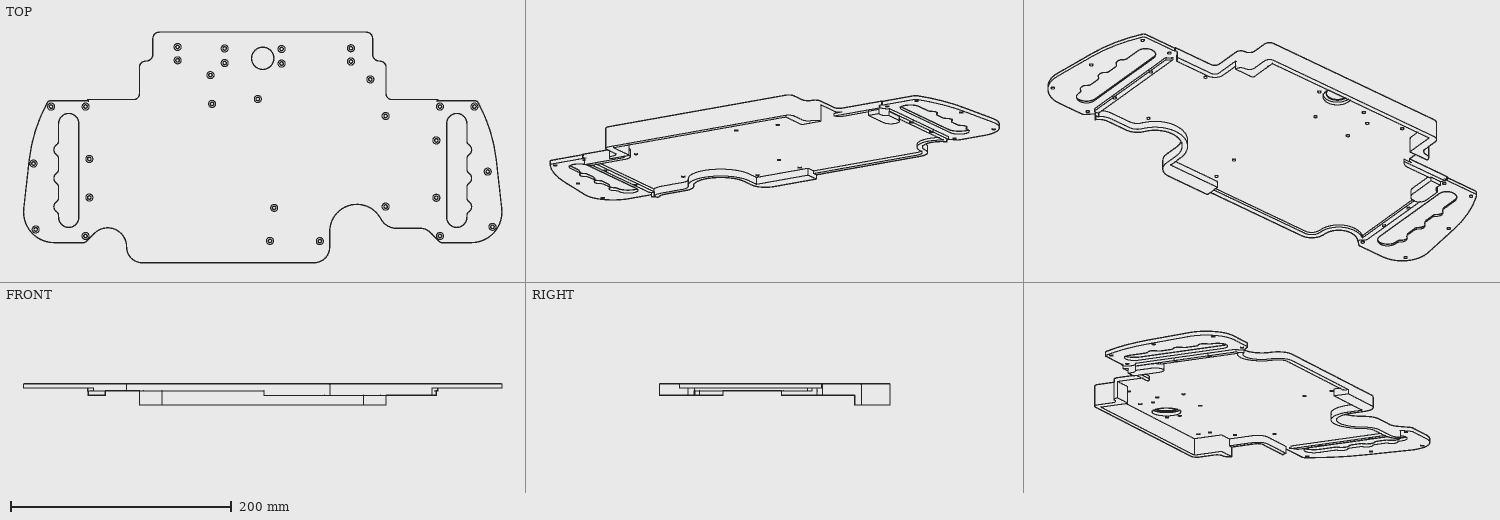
import cadquery as cq
import math

plate_t = 4.0
rim_depth = 6.5
rail_depth = 10.5
rear_depth = 19.5
rim_wall = 5.0
edge_round = 1.0

rear_y = 104.64
front_y = -104.64
shoulder_y = 78.4
body_top_y = 43.5
grip_top_y = 42.5
grip_bottom_y = -86.4
rear_half = 99.7
shoulder_half = 111.9
body_half = 158.8

step_r = 6.0
inner_corner_r = 5.0
grip_tip_r = 4.0
grip_side_r = 140.0
grip_heel_r = 28.0
grip_foot_r = 4.0

grip_tip_x = 194.3
grip_bend = (208.7, 16.0)
grip_heel_x = 220.2
grip_foot_x = 161.0

left_recess_x = -123.5
left_recess_r = 17.0
left_front_r = 14.5
right_recess_x = 60.8
right_recess_r = 24.5
right_front_r = 14.5
right_ledge_y = -73.4
right_ledge_start_x = 112.0
right_ledge_start_r = 16.0
right_flank_angle = 60.0
right_ledge_end_r = 12.0


def rounded_outline(corners):
    """Closed wire through (x, y, radius) corners, each rounded by its radius."""
    spans = []
    for i, (x, y, r) in enumerate(corners):
        before = cq.Vector(*corners[i - 1][:2])
        after = cq.Vector(*corners[(i + 1) % len(corners)][:2])
        here = cq.Vector(x, y)
        to_before = (before - here).normalized()
        to_after = (after - here).normalized()
        half = to_before.getAngle(to_after) / 2
        reach = r / math.tan(half)
        middle = (to_before + to_after).normalized() * (r / math.sin(half) - r)
        spans.append((here + to_before * reach, here + middle, here + to_after * reach, r))
    start = spans[0][2]
    wire = cq.Workplane("XY").moveTo(start.x, start.y)
    for first, middle, last, r in spans[1:] + spans[:1]:
        wire = wire.lineTo(first.x, first.y)
        if r > 0:
            wire = wire.threePointArc((middle.x, middle.y), (last.x, last.y))
    return wire.close()


def slab(wire, z_top, z_bottom):
    return wire.extrude(z_top - z_bottom).translate((0, 0, z_bottom))


def block(x0, x1, y0, y1, z_top, z_bottom):
    return (
        cq.Workplane("XY")
        .box(x1 - x0, y1 - y0, z_top - z_bottom, centered=False)
        .translate((x0, y0, z_bottom))
    )


left_recess_peak_y = grip_bottom_y + left_recess_x + grip_foot_x
right_flank_run = right_ledge_start_x - right_recess_x
right_recess_peak_y = right_ledge_y + right_flank_run * math.tan(math.radians(right_flank_angle))
right_ledge_end_x = grip_foot_x - (right_ledge_y - grip_bottom_y)

rear_corners = [
    (-shoulder_half, body_top_y, inner_corner_r),
    (-shoulder_half, shoulder_y, step_r),
    (-rear_half, shoulder_y, step_r),
    (-rear_half, rear_y, step_r),
    (rear_half, rear_y, step_r),
    (rear_half, shoulder_y, step_r),
    (shoulder_half, shoulder_y, step_r),
    (shoulder_half, body_top_y, inner_corner_r),
]
right_grip_corners = [
    (body_half, body_top_y, 0),
    (body_half, grip_top_y, 0),
    (grip_tip_x, grip_top_y, grip_tip_r),
    (*grip_bend, grip_side_r),
    (grip_heel_x, grip_bottom_y, grip_heel_r),
    (grip_foot_x, grip_bottom_y, grip_foot_r),
]
left_grip_corners = [(-x, y, r) for x, y, r in reversed(right_grip_corners)]
front_corners = [
    (right_ledge_end_x, right_ledge_y, right_ledge_end_r),
    (right_ledge_start_x, right_ledge_y, right_ledge_start_r),
    (right_recess_x, right_recess_peak_y, right_recess_r),
    (right_recess_x, front_y, right_front_r),
    (left_recess_x, front_y, left_front_r),
    (left_recess_x, left_recess_peak_y, left_recess_r),
]
plate_corners = rear_corners + right_grip_corners + front_corners + left_grip_corners
right_body_end = [
    (body_half, body_top_y, 0),
    (body_half, grip_bottom_y + grip_foot_x - body_half, 0),
]
left_body_end = [(-x, y, r) for x, y, r in reversed(right_body_end)]
body_corners = rear_corners + right_body_end + front_corners + left_body_end


plate = slab(rounded_outline(plate_corners), 0, -plate_t)
plate = plate.faces(">Z").edges().fillet(edge_round)

rear_wall_front_y = 72.3
rear_wall_end_r = 1.0
rear_wall_t = 4.6
shoulder_rail_front_y = 36.0
rear_cavity_half = 91.5
rail_left_x = 1.0
pad_inset = 0.6
pad_width = 15.6
pad_y0 = 6.0
pad_y1 = 40.0
front_rail_back_y = -90.0
recess_rail_back_y = -46.0
recess_rail_x = right_recess_x - rim_wall


def body_ring(depth):
    outer = slab(rounded_outline(body_corners), -plate_t, -depth)
    inner = slab(rounded_outline(body_corners).offset2D(-rim_wall), -plate_t, -depth)
    return outer.cut(inner)


def shallow_rim():
    """Rim all round the body in front of the rear housing, left open beside the left shoulder."""
    return body_ring(rim_depth).intersect(
        block(-body_half, body_half, front_y, body_top_y, -plate_t, -rim_depth)
    )


def right_rails():
    """Deep rails round the right recess, across the front and along the right shoulder."""
    ring = body_ring(rail_depth)
    front_part = block(rail_left_x, body_half, front_y, recess_rail_back_y, -plate_t, -rail_depth)
    grip_side = block(
        body_half - rim_wall, body_half, right_ledge_y, recess_rail_back_y, -plate_t, -rail_depth
    )
    shoulder = block(
        rail_left_x, body_half, shoulder_rail_front_y, rear_wall_front_y, -plate_t, -rail_depth
    )
    rails = ring.intersect(front_part).cut(grip_side).union(ring.intersect(shoulder))
    front_bar = slab(rounded_outline(body_corners), -plate_t, -rail_depth).intersect(
        block(rail_left_x, recess_rail_x, front_y, front_rail_back_y, -plate_t, -rail_depth)
    )
    return rails.union(front_bar)


def rear_housing():
    """Deep wall round the rear of the body, open to the front and below."""
    outer = slab(rounded_outline(body_corners), -plate_t, -rear_depth)
    rear = outer.intersect(
        block(-shoulder_half, shoulder_half, rear_wall_front_y, rear_y, -plate_t, -rear_depth)
    )
    housing = rear.cut(
        block(
            -rear_cavity_half, rear_cavity_half,
            rear_wall_front_y, rear_y - rear_wall_t, -plate_t, -rear_depth,
        )
    )
    inner_ends = cq.selectors.BoxSelector(
        (-shoulder_half + rim_wall, rear_wall_front_y - rim_wall, -rear_depth),
        (shoulder_half - rim_wall, rear_wall_front_y + rim_wall, 0),
    )
    return housing.edges("|Z").edges(inner_ends).fillet(rear_wall_end_r)


def left_pad():
    """Round-nosed pad under the left end of the body."""
    x0 = -body_half + pad_inset
    x1 = x0 + pad_width
    nose_y = pad_y0 + pad_width / 2
    wire = (
        cq.Workplane("XY")
        .moveTo(x0, pad_y1)
        .lineTo(x0, nose_y)
        .threePointArc(((x0 + x1) / 2, pad_y0), (x1, nose_y))
        .lineTo(x1, pad_y1)
        .close()
    )
    return slab(wire, -plate_t, -rail_depth)


joint_x = 160.6
joint_ys = (37.0, -80.2)
joint_clearance_r = 7.5
joint_screws = [(side * joint_x, y) for side in (-1, 1) for y in joint_ys]
clearances = slab(
    cq.Workplane("XY").pushPoints(joint_screws).circle(joint_clearance_r), -plate_t, -rail_depth
)

underside = shallow_rim().union(right_rails()).union(left_pad()).cut(clearances)
part = plate.union(underside).union(rear_housing())

slot_x = 175.85
slot_r = 9.05
slot_y0 = -63.3
slot_y1 = 21.7
finger_depth = 4.3
finger_length = 16.4
finger_lip_r = 4.4
finger_ys = (-2.2, -27.9, -53.6)
slot_round = 3.95


def grip_opening(side):
    """Long slot with rounded ends and three finger hollows along its outer edge."""
    half = finger_length / 2
    turn = 2 * math.atan(finger_depth / half)
    lip_x = finger_lip_r * (1 - math.cos(turn))
    lip_y = half - finger_lip_r * math.sin(turn)
    edge = side * slot_r
    wire = cq.Workplane("XY").moveTo(edge, slot_y1)
    for y in finger_ys:
        wire = wire.lineTo(edge, y + half)
        wire = wire.tangentArcPoint((edge + side * lip_x, y + lip_y), relative=False)
        wire = wire.tangentArcPoint((edge + side * lip_x, y - lip_y), relative=False)
        wire = wire.tangentArcPoint((edge, y - half), relative=False)
    wire = (
        wire.lineTo(edge, slot_y0)
        .threePointArc((0, slot_y0 - slot_r), (-edge, slot_y0))
        .lineTo(-edge, slot_y1)
        .threePointArc((0, slot_y1 + slot_r), (edge, slot_y1))
        .close()
    )
    return slab(wire, 0, -plate_t).translate((side * slot_x, 0, 0))


def slot_zone(side):
    """Selects what lies round one grip opening on the top face."""
    reach_x = slot_r + finger_depth + edge_round
    reach_y = slot_r + edge_round
    return cq.selectors.BoxSelector(
        (side * slot_x - reach_x, slot_y0 - reach_y, -edge_round / 2),
        (side * slot_x + reach_x, slot_y1 + reach_y, edge_round / 2),
    )


for side in (-1, 1):
    part = part.cut(grip_opening(side))
    part = part.faces(">Z").edges(slot_zone(side)).fillet(slot_round)

cable_hole_y = 80.8
cable_hole_d = 20.0
cable_relief_d = 26.0
cable_lip = 1.0
hole_centre = cq.Workplane("XY").center(0, cable_hole_y)
part = part.cut(slab(hole_centre.circle(cable_hole_d / 2), 0, -plate_t))
part = part.cut(slab(hole_centre.circle(cable_relief_d / 2), -cable_lip, -plate_t))

screw_d = 3.0
head_d = 6.4
head_angle = 90
screws = joint_screws + [
    (-191.8, 37.0), (191.8, 37.0),
    (-207.8, -14.6), (203.9, -21.9),
    (-205.8, -74.3), (208.2, -71.9),
    (-157.2, -10.4), (-157.2, -45.4), (157.3, 6.4), (157.3, -45.6),
    (111.4, 28.5), (111.4, -53.6),
    (-77.2, 91.1), (-77.2, 79.0), (79.9, 89.9), (79.9, 77.9),
    (-34.5, 89.7), (-34.5, 76.5), (17.1, 89.2), (17.1, 76.0),
    (-47.4, 65.5), (-45.9, 39.5), (-4.5, 43.9), (97.5, 61.7),
    (10.4, -54.8), (6.6, -84.7), (51.7, -84.9),
]
result = (
    part.faces(">Z").workplane(origin=(0, 0, 0))
    .pushPoints(screws)
    .cskHole(screw_d, head_d, head_angle)
)